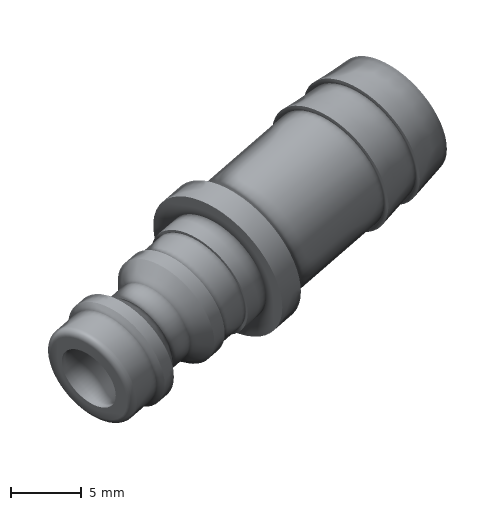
import cadquery as cq

total_length = 33.0
bore_radius = 2.5

tip_radius = 4.05
tip_fillet = 0.5
collar_radius = 4.5
neck_radius = 3.33
relief_radius = 4.25
flange_radius = 6.0

tail_radius = 5.0
barb_radius = 5.4
barb_length = 3.4
barb_count = 2

tip_end = 2.6
front_collar_start = 3.0
front_collar_end = 4.0
neck_start = 5.18
neck_end = 7.1
rear_collar_start = 8.38
rear_collar_end = 9.5
shoulder_start = 12.0
flange_start = 14.0
flange_end = 16.0


def plug_points():
    """(radius, station) corners from the tip to the rear of the flange."""
    return [
        (tip_radius, 0),
        (tip_radius, tip_end),
        (collar_radius, front_collar_start),
        (collar_radius, front_collar_end),
        (neck_radius, neck_start),
        (neck_radius, neck_end),
        (collar_radius, rear_collar_start),
        (collar_radius, rear_collar_end),
        (relief_radius, rear_collar_end),
        (relief_radius, shoulder_start),
        (collar_radius, shoulder_start),
        (collar_radius, flange_start),
        (flange_radius, flange_start),
        (flange_radius, flange_end),
        (tail_radius, flange_end),
    ]


def barb_points():
    """(radius, station) corners of the barbs, each tapering toward the hose end."""
    points = []
    first_barb = total_length - barb_count * barb_length
    for index in range(barb_count):
        start = first_barb + index * barb_length
        points += [
            (tail_radius, start),
            (barb_radius, start),
        ]
    points.append((tail_radius, total_length))
    return points


outline = [(0, 0)] + plug_points() + barb_points() + [(0, total_length)]
body = cq.Workplane("XY").polyline(outline).close().revolve(360, (0, 0, 0), (0, 1, 0))

body = body.faces("<Y").edges().fillet(tip_fillet)

bore = cq.Workplane("XZ").circle(bore_radius).extrude(-total_length)

result = body.cut(bore).translate((0, -total_length / 2, 0))